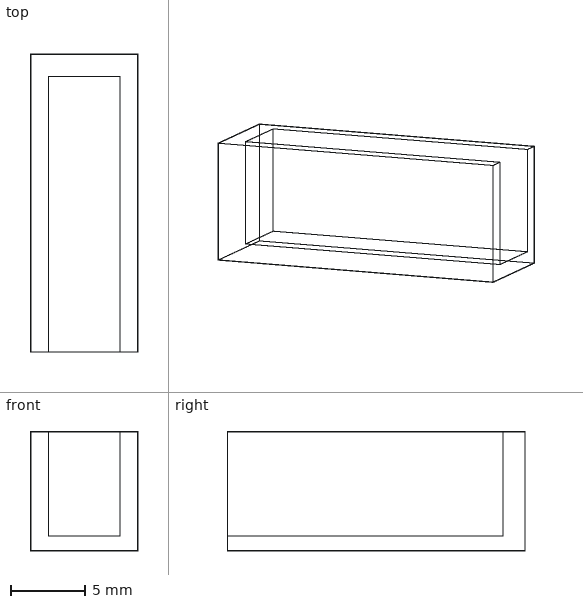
import cadquery as cq

width = 7.2
length = 20.0
height = 8.0

side_wall = 1.2
end_wall = 1.5
floor = 1.0

channel_width = width - 2 * side_wall
channel_length = length - end_wall
channel_depth = height - floor


def outer_block():
    """Block centred on X and Y, standing on Z = 0."""
    return cq.Workplane("XY").box(width, length, height, centered=(True, True, False))


def channel():
    """Channel open at the top and at the -Y end, closed by the end wall at +Y."""
    return (
        cq.Workplane("XY")
        .box(channel_width, channel_length, channel_depth, centered=(True, False, False))
        .translate((0, -length / 2, floor))
    )


result = outer_block().cut(channel())